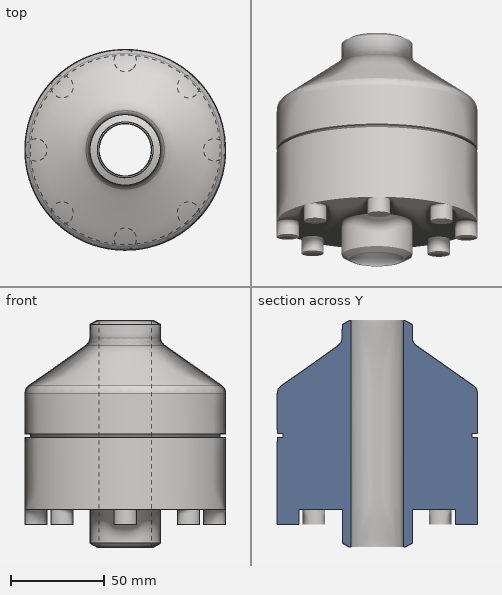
import cadquery as cq

total_height = 122.0
body_bottom = 20.3
groove_bottom = 59.0
groove_top = 61.0

body_diameter = 108.0
groove_diameter = 102.0
pipe_diameter = 38.0
bore_diameter = 28.0

cone_base_height = 85.4
cone_tip_height = 110.0
shoulder_fillet = 5.0
neck_fillet = 5.0

bevel_height = 2.2
pipe_end_diameter = 30.0

bolt_count = 8
bolt_diameter = 12.0
bolt_length = 8.0

selection_margin = 0.1

body_radius = body_diameter / 2
groove_radius = groove_diameter / 2
pipe_radius = pipe_diameter / 2
bore_radius = bore_diameter / 2
pipe_end_radius = pipe_end_diameter / 2
bolt_circle_radius = body_radius - bolt_diameter / 2


def revolved_body():
    """Solid of revolution about Z, without the bore."""
    outline = [
        (0, 0),
        (pipe_end_radius, 0),
        (pipe_radius, bevel_height),
        (pipe_radius, body_bottom),
        (body_radius, body_bottom),
        (body_radius, groove_bottom),
        (groove_radius, groove_bottom),
        (groove_radius, groove_top),
        (body_radius, groove_top),
        (body_radius, cone_base_height),
        (pipe_radius, cone_tip_height),
        (pipe_radius, total_height - bevel_height),
        (pipe_end_radius, total_height),
        (0, total_height),
    ]
    return cq.Workplane("XZ").polyline(outline).close().revolve(360, (0, 0), (0, 1))


def circle_edge(radius, height):
    """Selector for the circular edge of this radius at this height."""
    reach = radius + selection_margin
    low = (-reach, -reach, height - selection_margin)
    high = (reach, reach, height + selection_margin)
    return cq.selectors.BoxSelector(low, high, boundingbox=True)


def bolts():
    """Ring of bolt ends hanging below the body."""
    return (
        cq.Workplane("XY", origin=(0, 0, body_bottom))
        .polarArray(bolt_circle_radius, 0, 360, bolt_count)
        .circle(bolt_diameter / 2)
        .extrude(-bolt_length)
    )


body = revolved_body()
body = body.edges(circle_edge(body_radius, cone_base_height)).fillet(shoulder_fillet)
body = body.edges(circle_edge(pipe_radius, cone_tip_height)).fillet(neck_fillet)

bore = cq.Workplane("XY").circle(bore_radius).extrude(total_height)

result = body.union(bolts()).cut(bore)